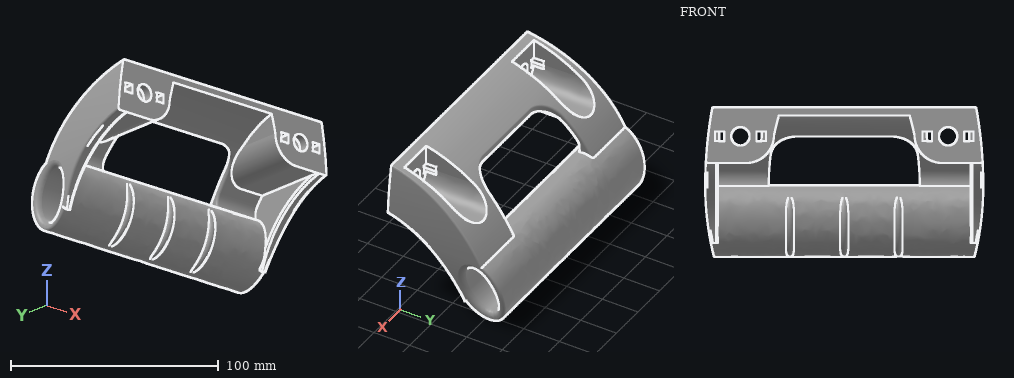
import cadquery as cq
import math

HALF_LENGTH = 67.0
HEIGHT = 72.2
DEPTH = 65.1
CLEARANCE = 13.4

WIDEST_Z = 34.3
HALF_LENGTH_TOP = 63.5
HALF_LENGTH_BOTTOM = 62.7

GRIP_MAJOR = 18.1
GRIP_MINOR = 12.7
GRIP_WALL = 4.8
GRIP_LEAN = 24.0
LEAN = math.radians(GRIP_LEAN)
GRIP_REACH_Y = math.hypot(GRIP_MAJOR * math.sin(LEAN), GRIP_MINOR * math.cos(LEAN))
GRIP_REACH_Z = math.hypot(GRIP_MAJOR * math.cos(LEAN), GRIP_MINOR * math.sin(LEAN))
GRIP_Y = DEPTH - GRIP_REACH_Y
GRIP_Z = GRIP_REACH_Z

RIDGE_PITCH = 26.1
RIDGE_RISE = 1.9
RIDGE_RADIUS = 2.0
RIDGE_END_DIP = 1.3
RIDGE_DROP = 1.0

ARCH_Y = -13.5
ARCH_Z = -2.0
ARCH_RADIUS = math.hypot(ARCH_Y, HEIGHT - ARCH_Z)
SHELL_THICKNESS = 3.9
ARM_BACK_Y = 55.0
NECK_Z = 41.0
NECK_RADIUS = 7.6

MOUNT_BOTTOM_Z = 45.3
MOUNT_CORNER = 13.4

GUSSET_INNER_X = 60.7
GUSSET_Y = -13.7
GUSSET_Z = -11.1
GUSSET_TIP_Z = 6.7
GUSSET_RADIUS = math.hypot(GUSSET_Y, MOUNT_BOTTOM_Z - GUSSET_Z)

OPENING_HALF_WIDTH = 36.3
OPENING_WALL_RADIUS = 120.6
BAR_BACK_Y = 26.8
WINDOW_CORNER = 11.4

FIXING_X = 50.0
FIXING_Z = 58.2
BOLT_DIAMETER = 8.7
MOUNT_THICKNESS = 5.5
POCKET_RADIUS = 10.0
POCKET_DRAFT = 1.3
SLOT_SPACING = 10.0
SLOT_WIDTH = 4.4
SLOT_HEIGHT = 4.5

EDGE_ROUND = 1.1
RIM_ROUND = 3.0
TOLERANCE = 0.1


def arc_z(y, centre_y, centre_z, radius):
    """Height of an arc, centred at (centre_y, centre_z), above a given Y."""
    return centre_z + math.sqrt(radius**2 - (y - centre_y) ** 2)


def arc_y(z, centre_y, centre_z, radius):
    """Y of an arc, centred at (centre_y, centre_z), at a given height."""
    return centre_y + math.sqrt(radius**2 - (z - centre_z) ** 2)


def side_plane(x):
    """Sketch plane across the part at a given X, with local axes Y and Z."""
    return cq.Workplane("YZ", origin=(x, 0, 0))


def front_plane(y):
    """Sketch plane at a given Y, with local axes X and Z; negative extrusions go to +Y."""
    return cq.Workplane("XZ", origin=(0, y, 0))


def both_sides(half):
    return half.union(half.mirror("YZ"))


def oval(x, centre_y, major, minor):
    """Leaning oval in the plane across the part at a given X."""
    return side_plane(x).center(centre_y, GRIP_Z).transformed(rotate=(0, 0, GRIP_LEAN)).ellipse(minor, major)


def barrel():
    """Outline with bulging ends, used to trim the length of the whole part."""
    top_sag = HALF_LENGTH - HALF_LENGTH_TOP
    bottom_sag = HALF_LENGTH - HALF_LENGTH_BOTTOM
    top_radius = ((HEIGHT - WIDEST_Z) ** 2 + top_sag**2) / (2 * top_sag)
    bottom_radius = (WIDEST_Z**2 + bottom_sag**2) / (2 * bottom_sag)
    half = (
        front_plane(-CLEARANCE)
        .moveTo(0, -CLEARANCE)
        .lineTo(HALF_LENGTH_BOTTOM, -CLEARANCE)
        .lineTo(HALF_LENGTH_BOTTOM, 0)
        .radiusArc((HALF_LENGTH, WIDEST_Z), -bottom_radius)
        .radiusArc((HALF_LENGTH_TOP, HEIGHT), -top_radius)
        .lineTo(HALF_LENGTH_TOP, HEIGHT + CLEARANCE)
        .lineTo(0, HEIGHT + CLEARANCE)
        .close()
        .extrude(-DEPTH - 2 * CLEARANCE)
    )
    return both_sides(half)


def shell():
    """Curved sheet from the mounting face to the grip, blended into the grip at the neck."""
    inner_radius = ARCH_RADIUS - SHELL_THICKNESS
    middle_y = ARM_BACK_Y / 2
    back_z = arc_z(ARM_BACK_Y, ARCH_Y, ARCH_Z, ARCH_RADIUS)
    neck_angle = math.asin((NECK_Z - ARCH_Z) / inner_radius)
    neck_y = ARCH_Y + (inner_radius - NECK_RADIUS) * math.cos(neck_angle)
    neck_z = ARCH_Z + (inner_radius - NECK_RADIUS) * math.sin(neck_angle)
    grip_angle = math.atan2(GRIP_Z - neck_z, GRIP_Y - neck_y)

    def on_neck(angle):
        return (neck_y + NECK_RADIUS * math.cos(angle), neck_z + NECK_RADIUS * math.sin(angle))

    return (
        side_plane(-HALF_LENGTH)
        .moveTo(0, HEIGHT)
        .threePointArc((middle_y, arc_z(middle_y, ARCH_Y, ARCH_Z, ARCH_RADIUS)), (ARM_BACK_Y, back_z))
        .lineTo(GRIP_Y, GRIP_Z)
        .lineTo(*on_neck(grip_angle))
        .threePointArc(on_neck((grip_angle + neck_angle) / 2), on_neck(neck_angle))
        .threePointArc(
            (middle_y, arc_z(middle_y, ARCH_Y, ARCH_Z, inner_radius)),
            (0, arc_z(0, ARCH_Y, ARCH_Z, inner_radius)),
        )
        .close()
        .extrude(2 * HALF_LENGTH)
    )


def opening_wall_x(z):
    """Half width of the hand opening at a given height."""
    return OPENING_HALF_WIDTH - OPENING_WALL_RADIUS + math.sqrt(OPENING_WALL_RADIUS**2 - (z - WIDEST_Z) ** 2)


def hand_opening():
    """Space between the arms, behind the bar, with rounded corners next to the bar."""
    middle_z = (HEIGHT + WIDEST_Z) / 2
    top_x = opening_wall_x(HEIGHT)
    middle_x = opening_wall_x(middle_z)
    return (
        front_plane(BAR_BACK_Y)
        .moveTo(-OPENING_HALF_WIDTH, 0)
        .lineTo(OPENING_HALF_WIDTH, 0)
        .lineTo(OPENING_HALF_WIDTH, WIDEST_Z)
        .threePointArc((middle_x, middle_z), (top_x, HEIGHT))
        .lineTo(-top_x, HEIGHT)
        .threePointArc((-middle_x, middle_z), (-OPENING_HALF_WIDTH, WIDEST_Z))
        .close()
        .extrude(-DEPTH)
        .faces("<Y")
        .edges("%CIRCLE")
        .fillet(WINDOW_CORNER)
    )


def mount_blocks():
    """Flat-bottomed blocks under the shell that carry the fixings."""
    wall_z = MOUNT_BOTTOM_Z + MOUNT_CORNER
    middle_z = (HEIGHT + wall_z) / 2
    wall_x = opening_wall_x(wall_z)
    diagonal = MOUNT_CORNER * (1 - math.sqrt(0.5))
    half = (
        front_plane(0)
        .moveTo(HALF_LENGTH, MOUNT_BOTTOM_Z)
        .lineTo(wall_x + MOUNT_CORNER, MOUNT_BOTTOM_Z)
        .threePointArc((wall_x + diagonal, MOUNT_BOTTOM_Z + diagonal), (wall_x, wall_z))
        .threePointArc((opening_wall_x(middle_z), middle_z), (opening_wall_x(HEIGHT), HEIGHT))
        .lineTo(HALF_LENGTH, HEIGHT)
        .close()
        .extrude(-DEPTH)
    )
    under_shell = side_plane(-HALF_LENGTH).center(ARCH_Y, ARCH_Z).circle(ARCH_RADIUS - SHELL_THICKNESS / 2)
    return both_sides(half).intersect(under_shell.extrude(2 * HALF_LENGTH))


def gussets():
    """Full-depth ribs along both ends, running down over the front of the grip."""
    middle_y = ARM_BACK_Y / 2
    middle_z = (GUSSET_TIP_Z + MOUNT_BOTTOM_Z) / 2
    half = (
        side_plane(GUSSET_INNER_X)
        .moveTo(0, HEIGHT)
        .threePointArc(
            (middle_y, arc_z(middle_y, ARCH_Y, ARCH_Z, ARCH_RADIUS)),
            (ARM_BACK_Y, arc_z(ARM_BACK_Y, ARCH_Y, ARCH_Z, ARCH_RADIUS)),
        )
        .lineTo(GRIP_Y, GRIP_Z)
        .lineTo(arc_y(GUSSET_TIP_Z, GUSSET_Y, GUSSET_Z, GUSSET_RADIUS), GUSSET_TIP_Z)
        .threePointArc(
            (arc_y(middle_z, GUSSET_Y, GUSSET_Z, GUSSET_RADIUS), middle_z),
            (0, MOUNT_BOTTOM_Z),
        )
        .close()
        .extrude(HALF_LENGTH - GUSSET_INNER_X)
    )
    return both_sides(half)


def ridges():
    """Round oval hoops set forward on the grip, so that only a crescent of each stands out."""
    hoops = cq.Workplane()
    for x in (-RIDGE_PITCH, 0, RIDGE_PITCH):
        path = oval(
            x, GRIP_Y - RIDGE_RISE, GRIP_MAJOR - RIDGE_RADIUS - RIDGE_END_DIP, GRIP_MINOR - RIDGE_RADIUS
        ).translate((0, 0, -RIDGE_DROP))
        along = path.val().tangentAt(0)
        section = cq.Plane(path.val().startPoint(), along.cross(cq.Vector(1, 0, 0)), along)
        hoops.add(cq.Workplane(section).circle(RIDGE_RADIUS).sweep(path))
    return hoops.combine()


def fixing_pockets():
    """Open-topped, slightly drafted pocket behind each mounting wall."""
    pocket = (
        front_plane(MOUNT_THICKNESS)
        .moveTo(FIXING_X - POCKET_RADIUS, FIXING_Z)
        .threePointArc((FIXING_X, FIXING_Z - POCKET_RADIUS), (FIXING_X + POCKET_RADIUS, FIXING_Z))
        .lineTo(FIXING_X + POCKET_RADIUS, HEIGHT + CLEARANCE)
        .lineTo(FIXING_X - POCKET_RADIUS, HEIGHT + CLEARANCE)
        .close()
        .extrude(-DEPTH, taper=-POCKET_DRAFT)
    )
    return both_sides(pocket)


def fixing_holes():
    """Bolt hole and two slots through each mounting wall."""
    depth = 2 * MOUNT_THICKNESS
    bolt = front_plane(0).center(FIXING_X, FIXING_Z).circle(BOLT_DIAMETER / 2).extrude(-depth)
    slots = (
        front_plane(0)
        .pushPoints([(FIXING_X - SLOT_SPACING, FIXING_Z), (FIXING_X + SLOT_SPACING, FIXING_Z)])
        .rect(SLOT_WIDTH, SLOT_HEIGHT)
        .extrude(-depth)
    )
    return both_sides(bolt.union(slots))


def round_edges(body, radius, is_wanted):
    """Fillet every edge whose middle point passes the test."""
    wanted = [edge for edge in body.edges().vals() if is_wanted(edge, edge.Center())]
    return body.newObject(wanted).fillet(radius)


def is_end_edge(edge, middle):
    return edge.geomType() == "BSPLINE" and abs(middle.x) > HALF_LENGTH_TOP


def is_bore_rim(edge, middle):
    off_axis = math.hypot(middle.y - GRIP_Y, middle.z - GRIP_Z)
    return is_end_edge(edge, middle) and off_axis < GRIP_MINOR / 2


def is_opening_edge(edge, middle):
    on_side = edge.geomType() == "BSPLINE" and middle.y > BAR_BACK_Y - TOLERANCE
    on_bar = edge.geomType() == "LINE" and abs(middle.y - BAR_BACK_Y) < TOLERANCE
    return on_side or on_bar


def is_gusset_edge(edge, middle):
    on_inner_side = abs(abs(middle.x) - GUSSET_INNER_X) < TOLERANCE
    return edge.geomType() == "CIRCLE" and on_inner_side and edge.Length() > DEPTH / 2


grip = oval(-HALF_LENGTH, GRIP_Y, GRIP_MAJOR, GRIP_MINOR).extrude(2 * HALF_LENGTH)
bore = oval(-HALF_LENGTH, GRIP_Y, GRIP_MAJOR - GRIP_WALL, GRIP_MINOR - GRIP_WALL).extrude(2 * HALF_LENGTH)

arch = round_edges(shell().cut(hand_opening()), EDGE_ROUND, is_opening_edge)
body = arch.union(mount_blocks()).union(gussets()).union(grip)
body = body.intersect(barrel())
body = round_edges(body, EDGE_ROUND, is_end_edge)
body = round_edges(body, EDGE_ROUND, is_gusset_edge)

body = body.cut(bore)
body = round_edges(body, RIM_ROUND, is_bore_rim)
body = body.cut(fixing_pockets()).cut(fixing_holes())
result = body.union(ridges().cut(bore))